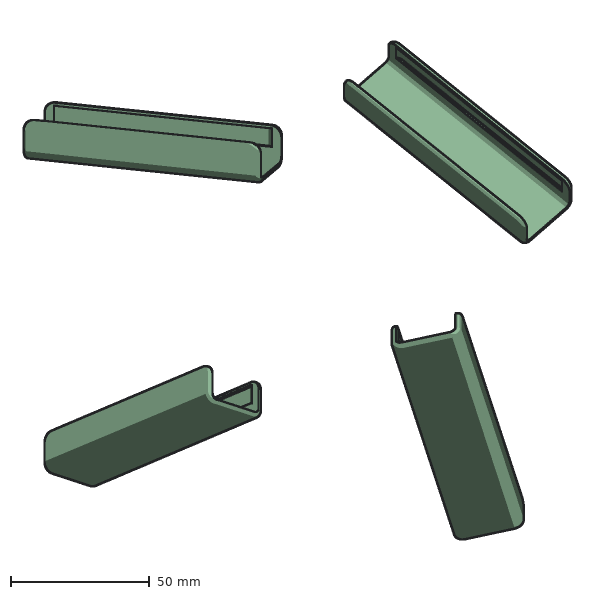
import cadquery as cq
import math

LENGTH = 90.6
WIDTH = 26.1
HEIGHT = 15.3
WALL = 2.0
BEND_RADIUS = 4.0
CORNER_RADIUS = 4.0
EDGE_RADIUS = 1.45

POCKET_DEPTH = 1.0
POCKET_END_MARGIN = 3.6
POCKET_BOTTOM = 7.2
POCKET_TOP = 14.1
POCKET_RUNOUT = 2.0

INNER_WIDTH = WIDTH - 2 * WALL


def rounded_prism(width, height, bottom, radius):
    """Bar along X with its two lower long edges rounded."""
    return (
        cq.Workplane("XY")
        .box(LENGTH, width, height, centered=(True, True, False))
        .edges("|X and <Z")
        .fillet(radius)
        .translate((0, 0, bottom))
    )


def channel():
    """U-shaped channel with rounded wall corners and a rounded outside skin."""
    outer = rounded_prism(WIDTH, HEIGHT, 0, BEND_RADIUS)
    inner = rounded_prism(INNER_WIDTH, HEIGHT, WALL, BEND_RADIUS - WALL)
    body = outer.cut(inner).edges("|Y and >Z").fillet(CORNER_RADIUS)

    wall_rims = body.faces("<Y or >Y").edges()
    return wall_rims.fillet(EDGE_RADIUS)


def pocket():
    """Pocket in the +Y wall, its floor meeting a tangent arc at each end."""
    half_opening = LENGTH / 2 - POCKET_END_MARGIN
    half_floor = half_opening - POCKET_RUNOUT
    face_y = INNER_WIDTH / 2
    floor_y = face_y + POCKET_DEPTH

    ramp_radius = (POCKET_RUNOUT**2 + POCKET_DEPTH**2) / (2 * POCKET_DEPTH)
    half_angle = math.asin(POCKET_RUNOUT / ramp_radius) / 2
    mid_x = half_floor + ramp_radius * math.sin(half_angle)
    mid_y = floor_y - ramp_radius * (1 - math.cos(half_angle))

    return (
        cq.Workplane("XY", origin=(0, 0, POCKET_BOTTOM))
        .moveTo(-half_opening, face_y)
        .threePointArc((-mid_x, mid_y), (-half_floor, floor_y))
        .lineTo(half_floor, floor_y)
        .threePointArc((mid_x, mid_y), (half_opening, face_y))
        .close()
        .extrude(POCKET_TOP - POCKET_BOTTOM)
    )


wall_pocket = pocket()
result = channel().cut(wall_pocket).cut(wall_pocket.mirror("XZ"))